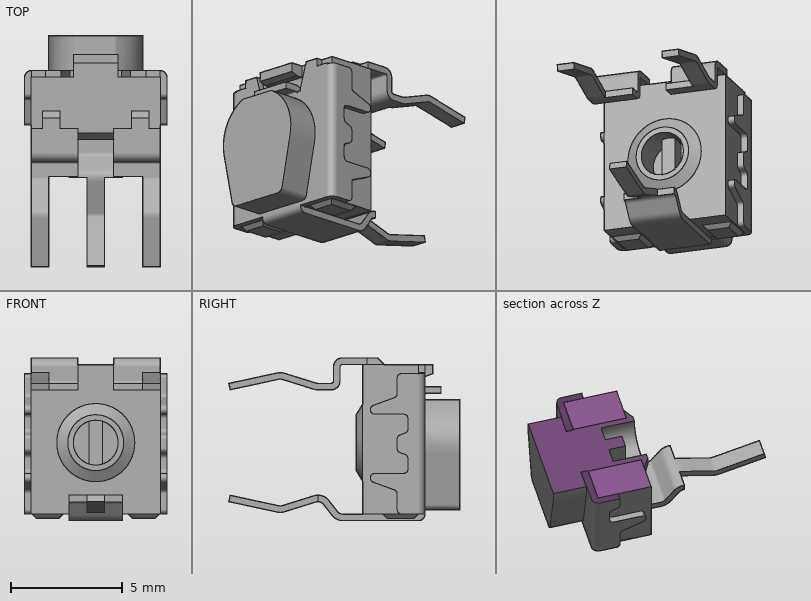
import cadquery as cq
import math

sheet = 0.3

housing_width = 5.8
housing_depth = 2.49
housing_height = 6.7
lug_width = 2.0
lug_back_y = 3.14
lug_bottom_z = 6.28
lug_bottom_drop = 0.12
foot_x = 2.15
foot_width = 1.41
foot_depth = 1.59
foot_height = 0.2

axis_z = 3.2
shaft_radius = 1.25
collar_radius = 1.75
collar_height = 0.3
socket_radius = 1.0
socket_floor_y = 1.24
bar_width = 0.62
bar_front_y = 0.48
knob_radius = 2.12
knob_back_y = 4.35
knob_top = 1.93
knob_bottom = 3.01
knob_taper = math.radians(12)
knob_rounding = 0.27

cover_back_y = housing_depth + sheet
cover_half_width = housing_width / 2 + sheet
fold_radius = 0.33
fold_start_y = cover_back_y - fold_radius
flange_height = 6.29
shoulder_z = 6.33
horn_inner_x = 1.56
horn_outer_x = 2.25
notch_half_width = 1.16
stop_width = lug_width
stop_top_z = 5.7
notch_floor_z = stop_top_z - sheet
stop_back_y = 3.51
tab_bend_radius = 0.05 + sheet / 2
flange_edge_y = 1.54
flange_waist_y = 2.03
claw_tip_y = 0.34
claw_edge_offset = 1.32
claw_root_offset = 2.11
bump_root_half = 0.53
flange_slope = math.tan(math.radians(20))
flange_rounding = 0.2

strap_width = 2.4
strap_rise = 0.85
strap_end_y = -2.01
strap_bend_end_y = -2.0
strap_bend = math.radians(52)

leg_width = 0.8
leg_bend_radius = sheet + sheet / 2
leg_first_bend_y = -2.08
leg_knee_y = -3.67
leg_tip_y = -6.0
leg_knee_height = 0.5

terminal_width = 2.1
terminal_back_y = 0.2
terminal_front_y = -1.31
terminal_end_y = -1.97
terminal_drop = 1.14
terminal_bend_radius = 0.1 + sheet / 2
tongue_x = 2.0
tongue_width = 0.8
tongue_back_y = 0.97


def box(x, y, z):
    """A box between the given (low, high) pairs."""
    size = (x[1] - x[0], y[1] - y[0], z[1] - z[0])
    return cq.Workplane("XY").box(*size, centered=False).translate((x[0], y[0], z[0]))


def side_plane(center_x=0.0):
    """A workplane parallel to YZ, on which local x is Y and local y is Z."""
    return cq.Workplane("YZ", origin=(center_x, 0, 0))


def bent_sheet(corners, radius, width, center_x=0.0):
    """A sheet strip whose middle line runs through (y, z) corners, rounded at each bend."""
    points = [cq.Vector(*corner) for corner in corners]
    headings = [(b - a).normalized() for a, b in zip(points, points[1:])]
    normals = [cq.Vector(-h.y, h.x) for h in headings]

    def edge_of(side):
        """Start, arcs and end of the sheet surface on one side of the middle line."""
        offset = side * sheet / 2
        arcs = []
        for i, corner in enumerate(points[1:-1]):
            turn_side = math.copysign(1, headings[i].cross(headings[i + 1]).z)
            setback = radius * math.tan(headings[i].getAngle(headings[i + 1]) / 2)
            before = corner - headings[i] * setback
            after = corner + headings[i + 1] * setback
            center = before + normals[i] * (turn_side * radius)
            middle = center + (corner - center).normalized() * (radius - turn_side * offset)
            arcs.append((before + normals[i] * offset, middle, after + normals[i + 1] * offset))
        return points[0] + normals[0] * offset, arcs, points[-1] + normals[-1] * offset

    left_start, left_arcs, left_end = edge_of(1)
    right_start, right_arcs, right_end = edge_of(-1)
    outline = side_plane(center_x).moveTo(left_start.x, left_start.y)
    for first, middle, last in left_arcs:
        outline = outline.lineTo(first.x, first.y)
        outline = outline.threePointArc((middle.x, middle.y), (last.x, last.y))
    outline = outline.lineTo(left_end.x, left_end.y).lineTo(right_end.x, right_end.y)
    for first, middle, last in reversed(right_arcs):
        outline = outline.lineTo(last.x, last.y)
        outline = outline.threePointArc((middle.x, middle.y), (first.x, first.y))
    return outline.lineTo(right_start.x, right_start.y).close().extrude(width / 2, both=True)


def leg(center_x, root_y, root_z, knee_direction):
    """A solder leg whose knee points up (1) or down (-1)."""
    tip_slope = math.atan2(leg_knee_height, leg_knee_y - leg_tip_y)
    corners = [
        (root_y, root_z),
        (leg_first_bend_y, root_z),
        (leg_knee_y, root_z + knee_direction * leg_knee_height),
        (leg_tip_y + sheet / 2 * math.sin(tip_slope), root_z),
    ]
    return bent_sheet(corners, leg_bend_radius, leg_width, center_x)


def shaft_bore():
    """The space of the rotor shaft, through the housing and the cover."""
    bore = cq.Workplane("XZ", origin=(0, 0, axis_z)).circle(shaft_radius)
    return bore.extrude(-cover_back_y)


def foot(center_x):
    """A standoff foot under the housing with 45 degree sides, flush with the housing back."""
    top = cq.Workplane("XY", origin=(center_x, housing_depth - foot_depth / 2, 0))
    return top.rect(foot_width, foot_depth).extrude(-foot_height, taper=45)


def housing_block():
    """The plain block of the housing, without lug, feet and bore."""
    half_width = housing_width / 2
    return box((-half_width, half_width), (0, housing_depth), (0, housing_height))


def make_housing():
    """The housing block with a lug at the top of its back, two feet and the shaft bore."""
    body = housing_block()
    lug = (
        side_plane()
        .moveTo(housing_depth, housing_height)
        .lineTo(lug_back_y, housing_height)
        .lineTo(lug_back_y, lug_bottom_z)
        .lineTo(cover_back_y, lug_bottom_z - lug_bottom_drop)
        .lineTo(housing_depth, lug_bottom_z - lug_bottom_drop)
        .close()
        .extrude(lug_width / 2, both=True)
    )
    body = body.union(lug)
    for side in (-1, 1):
        body = body.union(foot(side * foot_x))
    return body.cut(shaft_bore())


def make_knob():
    """The flat-topped round knob behind the cover, tapering down to a narrow end."""
    top_half = math.sqrt(knob_radius**2 - knob_top**2)
    tangent_x = knob_radius * math.cos(knob_taper)
    tangent_z = -knob_radius * math.sin(knob_taper)
    bottom_half = tangent_x - (knob_bottom + tangent_z) * math.tan(knob_taper)
    blank = (
        cq.Workplane("XZ", origin=(0, cover_back_y, axis_z))
        .moveTo(-top_half, knob_top)
        .lineTo(top_half, knob_top)
        .threePointArc((knob_radius, 0), (tangent_x, tangent_z))
        .lineTo(bottom_half, -knob_bottom)
        .lineTo(-bottom_half, -knob_bottom)
        .lineTo(-tangent_x, tangent_z)
        .threePointArc((-knob_radius, 0), (-top_half, knob_top))
        .close()
        .extrude(-(knob_back_y - cover_back_y))
    )
    return blank.edges("|Y").edges(">Z or <Z").fillet(knob_rounding)


def make_rotor():
    """The shaft with a conical front collar, a rear knob and a round socket crossed by a bar."""
    collar = (
        cq.Workplane("XZ", origin=(0, 0, axis_z))
        .circle(collar_radius)
        .workplane(offset=collar_height)
        .circle(shaft_radius)
        .loft(ruled=True)
    )
    socket = (
        cq.Workplane("XZ", origin=(0, socket_floor_y, axis_z))
        .circle(socket_radius)
        .extrude(socket_floor_y + collar_height)
    )
    bar = box(
        (-bar_width / 2, bar_width / 2),
        (bar_front_y, socket_floor_y),
        (axis_z - socket_radius, axis_z + socket_radius),
    )
    return shaft_bore().union(collar).union(make_knob()).cut(socket.cut(bar))


def folded_back():
    """The cover plate behind the housing: two horns beside a notch, and folds into the flanges."""
    right_half = [
        (cover_half_width, 0),
        (cover_half_width, flange_height),
        (cover_half_width - fold_radius, flange_height),
        (cover_half_width - fold_radius, shoulder_z),
        (horn_outer_x, shoulder_z),
        (horn_outer_x, housing_height),
        (horn_inner_x, housing_height),
        (notch_half_width, notch_floor_z),
    ]
    left_half = [(-x, z) for x, z in reversed(right_half)]
    plane = cq.Workplane("XZ", origin=(0, flange_waist_y, 0))
    blank = plane.polyline(right_half + left_half).close().extrude(flange_waist_y - cover_back_y)
    outer_corners = blank.edges("|Z and >Y").edges(">X or <X")
    return outer_corners.fillet(fold_radius).cut(housing_block())


def stop_tab():
    """The tab in the notch, bent backwards over the knob."""
    middle_y = housing_depth + sheet / 2
    middle_z = stop_top_z - sheet / 2
    corners = [(middle_y, notch_floor_z - sheet), (middle_y, middle_z), (stop_back_y, middle_z)]
    return bent_sheet(corners, tab_bend_radius, stop_width)


def side_flange():
    """The +X flange: a flat sheet with two claws and a bump along its front edge."""
    middle_z = flange_height / 2
    bump_drop = (flange_waist_y - flange_edge_y) * flange_slope
    claw_drop = (flange_edge_y - claw_tip_y) * flange_slope
    upper_edge = [
        (flange_edge_y, bump_root_half - bump_drop),
        (flange_waist_y, bump_root_half),
        (flange_waist_y, claw_edge_offset),
        (claw_tip_y, claw_edge_offset),
        (claw_tip_y, claw_root_offset - claw_drop),
        (flange_edge_y, claw_root_offset),
        (flange_edge_y, middle_z),
    ]
    lower_edge = [(y, -z) for y, z in reversed(upper_edge)]
    front_edge = [(y, middle_z + z) for y, z in lower_edge + upper_edge]
    inner_x = housing_width / 2
    back_edge = [(fold_start_y, flange_height), (fold_start_y, 0)]
    flange = side_plane(inner_x).polyline(front_edge + back_edge).close().extrude(sheet)
    return flange.edges("|X").edges("not >Y").fillet(flange_rounding)


def strap():
    """The strap under the housing, with its bend from the back plate and its S-bend up to the leg."""
    quarter_middle = sheet * math.sqrt(0.5)
    fold = (
        side_plane()
        .moveTo(housing_depth, 0)
        .lineTo(cover_back_y, 0)
        .threePointArc(
            (housing_depth + quarter_middle, -quarter_middle),
            (housing_depth, -sheet),
        )
        .close()
        .extrude(strap_width / 2, both=True)
    )
    setback = leg_bend_radius * math.tan(strap_bend / 2)
    upper_corner_y = strap_bend_end_y + setback
    lower_corner_y = upper_corner_y + strap_rise / math.tan(strap_bend)
    low_z = -sheet / 2
    high_z = low_z + strap_rise
    corners = [
        (housing_depth, low_z),
        (lower_corner_y, low_z),
        (upper_corner_y, high_z),
        (strap_end_y, high_z),
    ]
    s_bend = bent_sheet(corners, leg_bend_radius, strap_width)
    return fold.union(s_bend).union(leg(0, strap_end_y, high_z, -1))


def make_cover():
    """The sheet metal cover with both flanges, the stop tab and the strap with the middle leg."""
    flange = side_flange()
    cover = folded_back().union(stop_tab()).union(strap())
    cover = cover.union(flange).union(flange.mirror("YZ"))
    return cover.cut(shaft_bore())


def make_terminal(side):
    """A terminal hooked over the housing top edge, on the -X (-1) or +X (1) side."""
    middle_x = side * (housing_width - terminal_width) / 2
    high_z = housing_height + sheet / 2
    low_z = high_z - terminal_drop
    wall_y = terminal_front_y + sheet / 2
    corners = [(terminal_back_y, high_z), (wall_y, high_z), (wall_y, low_z), (terminal_end_y, low_z)]
    hook = bent_sheet(corners, terminal_bend_radius, terminal_width, middle_x)
    tongue = (
        side_plane(side * tongue_x)
        .moveTo(terminal_back_y, housing_height)
        .lineTo(tongue_back_y, housing_height)
        .lineTo(tongue_back_y - sheet, housing_height + sheet)
        .lineTo(terminal_back_y, housing_height + sheet)
        .close()
        .extrude(tongue_width / 2, both=True)
    )
    leg_x = side * (housing_width - leg_width) / 2
    return hook.union(tongue).union(leg(leg_x, terminal_end_y, low_z, 1))


housing = make_housing()
rotor = make_rotor()
cover = make_cover()
terminals = [make_terminal(side) for side in (-1, 1)]

result = cq.Compound.makeCompound(
    [housing.val(), rotor.val(), cover.val(), *[terminal.val() for terminal in terminals]]
)